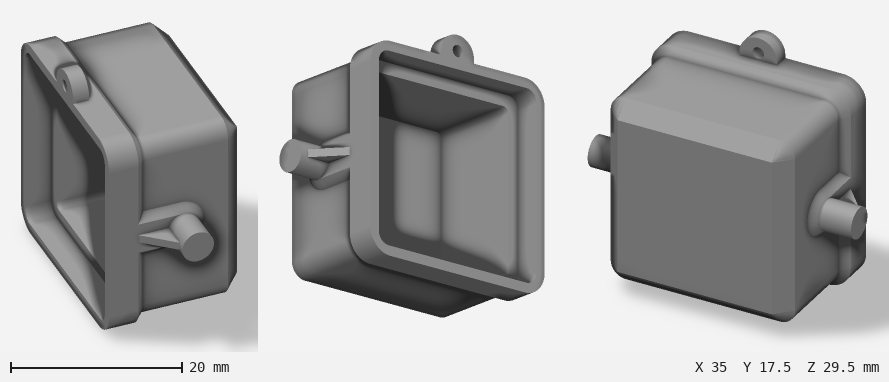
import cadquery as cq


depth = 17.5
rim_side = 26.5
rim_corner_radius = 3.0
rim_thickness = 3.75
rim_bevel = 1.0
body_side = rim_side - 2 * rim_bevel
body_corner_radius = rim_corner_radius - rim_bevel
back_bevel = body_corner_radius

recess_side = 24.0
recess_corner_radius = 1.5
recess_depth = 3.375
cavity_side = 21.0
cavity_corner_radius = 0.75
back_wall = 2.0

peg_span = 35.0
peg_diameter = 4.0
peg_radius = peg_diameter / 2
peg_y = 9.5
pad_base_radius = peg_radius + rim_bevel
rib_thickness = 1.0
rib_setback = 1.0

overall_height = 29.5
lug_radius = 2.5
lug_thickness = 2.0
lug_hole_diameter = 1.5
lug_hole_edge_distance = 2.0
lug_top_z = overall_height - rim_side / 2
lug_centre_z = lug_top_z - lug_radius
lug_hole_z = lug_top_z - lug_hole_edge_distance


def rounded_block(side, corner_radius, y_start, y_end):
    """Square block along Y with rounded corner edges."""
    length = y_end - y_start
    block = cq.Workplane("XY").box(side, length, side).edges("|Y").fillet(corner_radius)
    return block.translate((0, y_start + length / 2, 0))


def make_body():
    """Main box; the back bevel equals the corner radius, so each corner ends in a cone."""
    bevel_start = depth - back_bevel
    half = body_side / 2
    back_half = half - back_bevel
    back_profile = [(-half, bevel_start), (half, bevel_start), (back_half, depth), (-back_half, depth)]
    wedge = cq.Workplane("XY").polyline(back_profile).close().extrude(back_half, both=True)
    body = rounded_block(body_side, body_corner_radius, 0, bevel_start)
    body = body.union(wedge).union(wedge.rotate((0, 0, 0), (0, 1, 0), 90))
    for x in (-back_half, back_half):
        for z in (-back_half, back_half):
            base = cq.Vector(x, bevel_start, z)
            cone = cq.Solid.makeCone(body_corner_radius, 0, back_bevel, base, cq.Vector(0, 1, 0))
            body = body.union(cq.Workplane(cone))
    return body


def make_rim():
    """Wider rim around the opening, bevelled back down to the body."""
    rim = rounded_block(rim_side, rim_corner_radius, 0, rim_thickness + rim_bevel)
    return rim.faces(">Y").edges().chamfer(rim_bevel)


def make_peg_side():
    """Peg, bevelled pad and rib on the +X side."""
    pad_x = rim_side / 2
    body_x = body_side / 2
    peg = (
        cq.Workplane("YZ", origin=(body_x, peg_y, 0))
        .circle(peg_radius)
        .extrude(peg_span / 2 - body_x)
    )
    pad_round = cq.Solid.makeCone(
        pad_base_radius, peg_radius, rim_bevel, cq.Vector(body_x, peg_y, 0), cq.Vector(1, 0, 0)
    )
    pad_profile = [
        (body_x, -pad_base_radius),
        (pad_x, -peg_radius),
        (pad_x, peg_radius),
        (body_x, pad_base_radius),
    ]
    pad_straight = (
        cq.Workplane("XZ", origin=(0, peg_y, 0))
        .polyline(pad_profile)
        .close()
        .extrude(peg_y - rim_thickness)
    )
    rib_tip_x = peg_span / 2 - rib_setback
    rib_profile = [
        (pad_x, rim_thickness),
        (rib_tip_x, peg_y - peg_radius),
        (rib_tip_x, peg_y),
        (pad_x, peg_y),
    ]
    rib = cq.Workplane("XY").polyline(rib_profile).close().extrude(rib_thickness / 2, both=True)
    return pad_straight.union(cq.Workplane(pad_round)).union(peg).union(rib)


def make_lug():
    """Round-topped tab standing on the middle of the rim's upper side."""
    foot_z = recess_side / 2
    return (
        cq.Workplane("XZ")
        .moveTo(-lug_radius, foot_z)
        .lineTo(-lug_radius, lug_centre_z)
        .threePointArc((0, lug_top_z), (lug_radius, lug_centre_z))
        .lineTo(lug_radius, foot_z)
        .close()
        .extrude(-lug_thickness)
    )


def make_lug_hole():
    hole = cq.Workplane("XZ").center(0, lug_hole_z).circle(lug_hole_diameter / 2)
    return hole.extrude(-lug_thickness)


peg_side = make_peg_side()
result = make_body().union(make_rim()).union(peg_side).union(peg_side.mirror("YZ")).union(make_lug())
result = result.cut(rounded_block(recess_side, recess_corner_radius, 0, recess_depth))
result = result.cut(rounded_block(cavity_side, cavity_corner_radius, 0, depth - back_wall))
result = result.cut(make_lug_hole())